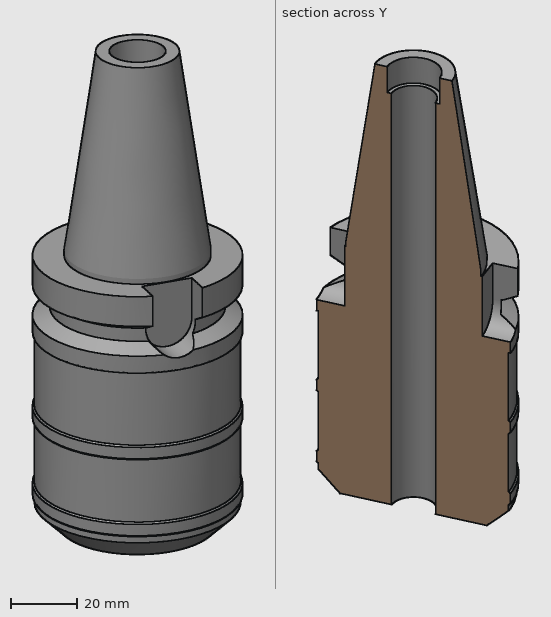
import cadquery as cq

total_length = 155.4
gauge_radius = 22.2
gauge_z = 90.0
taper_ratio = 7 / 24
small_end_radius = gauge_radius - (total_length - gauge_z) * taper_ratio / 2

flange_diameter = 63.5
flange_radius = flange_diameter / 2
flange_top_z = 88.3
flange_bottom_z = 78.5
groove_radius = 26.5
groove_top_z = 75.7
groove_bottom_z = 71.3
collar_top_z = 68.7
collar_bottom_z = 63.1

body_radius = 31.2
band_tops_z = (39.2, 13.8)
band_height = 4.8
nose_height = 7.0
nose_radius = 24.1

bore_radius = 7.1
counterbore_radius = 8.5
counterbore_depth = 9.2

slot_width = 16.3
slot_bottom_z = 67.1
slot_floor_x = 22.5


def make_outer_body():
    """Revolved body, from the shank down to the nose."""
    outline = [
        (0, total_length),
        (small_end_radius, total_length),
        (gauge_radius, gauge_z),
        (gauge_radius, flange_top_z),
        (flange_radius, flange_top_z),
        (flange_radius, flange_bottom_z),
        (groove_radius, groove_top_z),
        (groove_radius, groove_bottom_z),
        (flange_radius, collar_top_z),
        (flange_radius, collar_bottom_z),
        (body_radius, collar_bottom_z),
        (body_radius, nose_height),
        (nose_radius, 0),
        (0, 0),
    ]
    return cq.Workplane("XZ").polyline(outline).close().revolve(360, (0, 0), (0, 1))


def make_band(top_z):
    """Raised ring whose edges slope at 45 degrees down to the body."""
    edge = flange_radius - body_radius
    bottom_z = top_z - band_height
    outline = [
        (0, bottom_z),
        (body_radius, bottom_z),
        (flange_radius, bottom_z + edge),
        (flange_radius, top_z - edge),
        (body_radius, top_z),
        (0, top_z),
    ]
    return cq.Workplane("XZ").polyline(outline).close().revolve(360, (0, 0), (0, 1))


def make_drive_slot():
    """Round-bottomed cutter for the slot on the +X side, open at the top of the flange."""
    half_width = slot_width / 2
    arc_center_z = slot_bottom_z + half_width
    return (
        cq.Workplane("YZ", origin=(slot_floor_x, 0, 0))
        .moveTo(-half_width, flange_top_z)
        .lineTo(-half_width, arc_center_z)
        .threePointArc((0, slot_bottom_z), (half_width, arc_center_z))
        .lineTo(half_width, flange_top_z)
        .close()
        .extrude(flange_radius)
    )


result = make_outer_body()
for band_top_z in band_tops_z:
    result = result.union(make_band(band_top_z))

drive_slot = make_drive_slot()
for slot_angle in (0, 180):
    result = result.cut(drive_slot.rotate((0, 0, 0), (0, 0, 1), slot_angle))

result = result.faces(">Z").workplane(origin=(0, 0, total_length)).cboreHole(
    2 * bore_radius, 2 * counterbore_radius, counterbore_depth
)